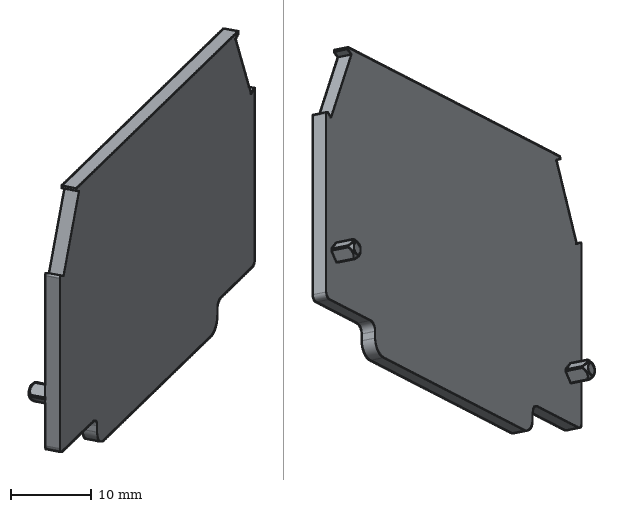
import cadquery as cq

plate_thickness = 2.0
plate_height = 38.41
half_width = 30.0

tab_half_width = 18.5
tab_height = 4.0
tab_corner_radius = 2.0
tab_root_radius = 1.1
shoulder_corner_radius = 0.75

slope_foot_y = 28.85
slope_foot_z = 28.05
slope_head_y = 24.1
slope_head_z = plate_height - 0.75
slope_run = slope_foot_y - slope_head_y
slope_rise = slope_head_z - slope_foot_z

hook_peak_z = slope_foot_z + (half_width - slope_foot_y) * slope_run / slope_rise
hook_radius = 0.25

lip_half_width = 25.0
lip_edge_inset = 0.1
lip_edge_drop = 0.3

peg_length = 3.0
peg_y = 27.5
peg_z = 10.65
peg_side = 2.0
peg_body_diameter = 2.6
peg_tip_diameter = 1.6
peg_taper_length = 0.5


def make_plate():
    """Extrude the outline, drawn along one side and closed by its mirror image."""
    half_outline = [
        (tab_half_width, 0),
        (tab_half_width, tab_height),
        (half_width, tab_height),
        (half_width, hook_peak_z),
        (slope_foot_y, slope_foot_z),
        (slope_head_y, slope_head_z),
        (lip_half_width, plate_height - lip_edge_drop),
        (lip_half_width - lip_edge_inset, plate_height),
    ]
    mirrored = [(-y, z) for y, z in reversed(half_outline)]
    plate = cq.Workplane("YZ").polyline(half_outline + mirrored).close().extrude(plate_thickness)
    plate = round_corners(plate, tab_half_width, 0, tab_corner_radius)
    plate = round_corners(plate, tab_half_width, tab_height, tab_root_radius)
    plate = round_corners(plate, half_width, hook_peak_z, hook_radius)
    return round_corners(plate, half_width, tab_height, shoulder_corner_radius)


def round_corners(plate, corner_y, corner_z, radius):
    """Fillet the pair of through-thickness edges at Y = +/- corner_y."""
    for y in (-corner_y, corner_y):
        middle_of_edge = (plate_thickness / 2, y, corner_z)
        plate = plate.edges(cq.selectors.NearestToPointSelector(middle_of_edge)).fillet(radius)
    return plate


def make_peg(y):
    """Square bar along -X, trimmed by a round body with a conical tip."""
    bar = cq.Workplane("YZ").rect(peg_side, peg_side).extrude(-peg_length)
    bar = bar.rotate((0, 0, 0), (1, 0, 0), 45)
    body_radius = peg_body_diameter / 2
    turned_profile = [
        (0, 0),
        (0, body_radius),
        (peg_taper_length - peg_length, body_radius),
        (-peg_length, peg_tip_diameter / 2),
        (-peg_length, 0),
    ]
    turned_body = cq.Workplane("XY").polyline(turned_profile).close().revolve(360, (0, 0, 0), (1, 0, 0))
    return bar.intersect(turned_body).translate((0, y, peg_z))


result = make_plate()
for side in (-1, 1):
    result = result.union(make_peg(side * peg_y))